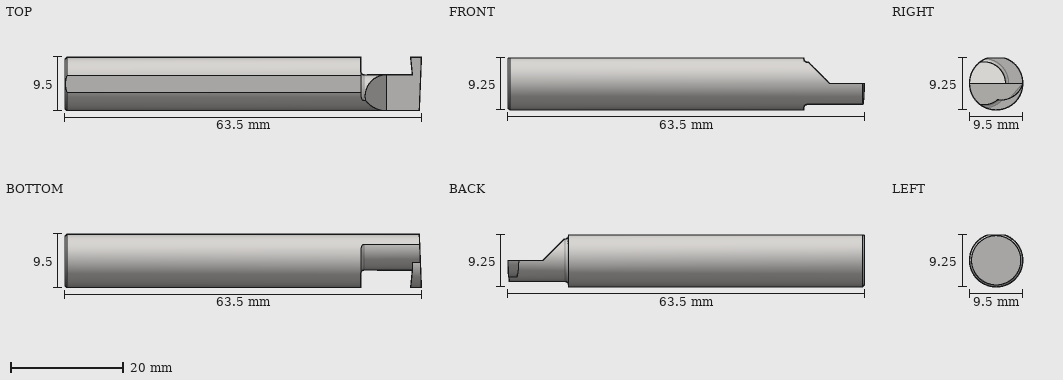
import cadquery as cq
import math

length = 63.5
shank_radius = 4.75
shank_length = 52.7
rear_chamfer = 0.4
flat_width = 3.05

neck_radius = 3.8
neck_side = 1.65
neck_center_y = neck_side - neck_radius
shoulder_fillet = 0.6

rake_start = 57.3
tooth_tip_y = shank_radius
tooth_tip_width = 2.0
tooth_root_width = 1.65
end_slant = 0.4
end_relief_angle = 2.0
tip_relief_radius = 4.1
tip_relief_angle = 16.0


def rod(radius, start, end, center_y=0.0):
    """Cylinder along X between two stations."""
    return cq.Workplane("YZ", origin=(start, center_y, 0)).circle(radius).extrude(end - start)


def make_shank():
    """Round shank with a chamfered rear rim and a flat along the top."""
    shank = rod(shank_radius, 0, shank_length).faces("<X").chamfer(rear_chamfer)
    flat_height = math.sqrt(shank_radius**2 - (flat_width / 2) ** 2)
    above_flat = cq.Workplane("XY").workplane(offset=flat_height).rect(
        2 * shank_length, 2 * shank_radius
    ).extrude(shank_radius)
    return shank.cut(above_flat)


def make_neck():
    """Neck with a concave fillet ring where it leaves the shoulder."""
    neck = rod(neck_radius, shank_length, length, neck_center_y)
    ring_radius = neck_radius + shoulder_fillet
    ring_end = shank_length + shoulder_fillet
    arc_offset = shoulder_fillet * (1 - math.sqrt(0.5))
    flare = (
        cq.Workplane("XY", origin=(0, neck_center_y, 0))
        .moveTo(shank_length, 0)
        .lineTo(shank_length, ring_radius)
        .threePointArc(
            (shank_length + arc_offset, neck_radius + arc_offset),
            (ring_end, neck_radius),
        )
        .lineTo(ring_end, 0)
        .close()
        .revolve(360, (0, 0, 0), (1, 0, 0))
    )
    return neck.union(flare).intersect(rod(shank_radius, shank_length, length))


def make_tooth():
    """Side tooth below the rake face, with a rounded relief behind its tip."""
    blank = (
        cq.Workplane("XY")
        .moveTo(length - tooth_tip_width, tooth_tip_y)
        .lineTo(length, tooth_tip_y)
        .lineTo(length, neck_center_y)
        .lineTo(length - tooth_root_width, neck_center_y)
        .lineTo(length - tooth_root_width, neck_side)
        .close()
        .extrude(-neck_radius)
    )
    angle = math.radians(tip_relief_angle)
    relief_y = tooth_tip_y - tip_relief_radius * math.cos(angle)
    relief_z = tip_relief_radius * math.sin(angle)
    relief = (
        cq.Workplane("YZ", origin=(length - tooth_tip_width, relief_y, relief_z))
        .circle(tip_relief_radius)
        .extrude(tooth_tip_width)
    )
    return blank.intersect(relief)


def ramp_cut():
    """Space above the ramp and the rake face."""
    ramp_top = shank_radius
    return (
        cq.Workplane("XZ")
        .moveTo(rake_start - ramp_top, ramp_top)
        .lineTo(rake_start, 0)
        .lineTo(length, 0)
        .lineTo(length, ramp_top)
        .close()
        .extrude(shank_radius, both=True)
    )


def front_envelope():
    """Block whose end face slants toward -Y and leans back below the rake face."""
    depth = shank_radius
    lean = depth * math.tan(math.radians(end_relief_angle))
    block = cq.Workplane("XZ", origin=(0, shank_radius, 0)).polyline(
        [(0, depth), (length, depth), (length, 0), (length - lean, -depth), (0, -depth)]
    ).close().extrude(2 * shank_radius)
    slant_wedge = cq.Workplane("XY", origin=(0, 0, -depth)).polyline(
        [(length, shank_radius), (length, -shank_radius), (length - end_slant, -shank_radius)]
    ).close().extrude(2 * depth)
    return block.cut(slant_wedge)


cutting_end = make_neck().cut(ramp_cut()).union(make_tooth()).intersect(front_envelope())
result = make_shank().union(cutting_end)